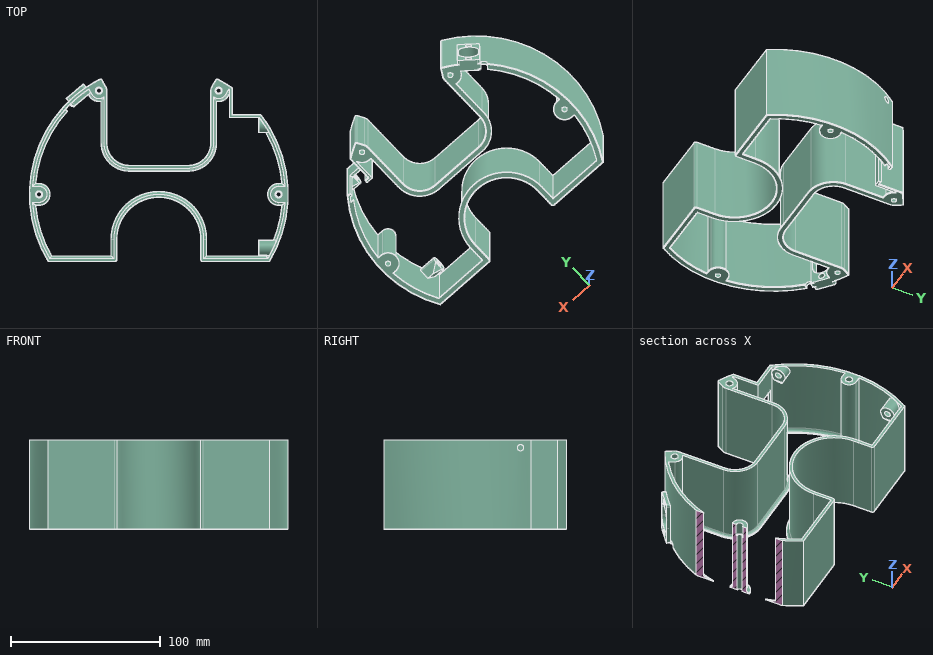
import cadquery as cq
import math

height = 60.0
wall = 2.0
outer_radius = 86.5
front_y = -45.0
bottom_chamfer = 0.5

boss_circle_radius = 80.0
rear_boss_angles = (60.0, 120.0)
boss_angles = (0.0, *rear_boss_angles, 180.0)
insert_diameter = 4.7
insert_depth = 10.0
screw_diameter = 3.4
boss_wall = 3.0
boss_radius = insert_diameter / 2 + boss_wall
boss_tip_fillet = 1.0
rear_boss_x = boss_circle_radius * math.cos(math.radians(rear_boss_angles[0]))
rear_boss_y = boss_circle_radius * math.sin(math.radians(rear_boss_angles[0]))

bay_half_width = rear_boss_x - boss_radius
bay_floor_y = 19.4
bay_corner_radius = 15.0

arch_radius = 28.0
arch_center_y = -30.0
arch_corner_fillet = 1.5

step_x = 49.2
step_y = 53.35
window_left_x = 52.0
window_right_x = 65.4
window_height = 40.0

ledge_width = 2.0
ledge_thickness = 1.0
ledge_fillet = ledge_width
bay_ledge_fillet = ledge_width / 2
ledge_step_gap = 3.0

side_boss_hole_diameter = 4.2
side_boss_radius = side_boss_hole_diameter / 2 + boss_wall
side_boss_face_x = 66.6
side_boss_z = 54.8
side_boss_ys = (-35.7, 46.3)
side_boss_hole_depth = 8.0
side_boss_gusset_drop = 12.0
side_boss_gusset_steepness = 1.3

connector_angle = 130.0
connector_center_x = -56.1
connector_center_y = 68.9
connector_width = 15.0
connector_height = 35.0
connector_depth = 7.5
connector_outer_depth = 4.0
connector_corner_radius = 1.5
connector_boss_overlap = 3.0
connector_slot_length = 21.3
connector_slot_width = 13.3
connector_screw_diameter = 4.2
connector_screw_spacing = 27.5

notch_angle = 136.1
notch_width = 4.2
notch_axis_z = 2.2

reach = 2 * outer_radius


def block(x_range, y_range, z_range):
    """Axis-aligned box between the given limits."""
    (x0, x1), (y0, y1), (z0, z1) = x_range, y_range, z_range
    return cq.Workplane("XY", origin=(x0, y0, z0)).box(x1 - x0, y1 - y0, z1 - z0, centered=False)


def disc(radius, z_range):
    """Vertical cylinder about the shell axis."""
    bottom_z, top_z = z_range
    return cq.Workplane("XY", origin=(0, 0, bottom_z)).circle(radius).extrude(top_z - bottom_z)


def boss_column(angle, radius, z_range):
    """Round column joined outward to the shell wall by a web of the same width."""
    column = disc(radius, z_range).translate((boss_circle_radius, 0, 0))
    web = block((boss_circle_radius, reach), (-radius, radius), z_range)
    return column.union(web).rotate((0, 0, 0), (0, 0, 1), angle)


def rear_bay(offset, z_range):
    """U-shaped bay grown by `offset`, open toward the rear."""
    half_width = bay_half_width + offset
    bay = block((-half_width, half_width), (bay_floor_y - offset, reach), z_range)
    return bay.edges("|Z and <Y").fillet(bay_corner_radius + offset)


def rear_mouth(z_range):
    """Space between the two rear bosses, out to their centre planes."""
    return block((-rear_boss_x, rear_boss_x), (rear_boss_y, reach), z_range)


def front_bay(offset, z_range):
    """Arched bay grown by `offset`, open toward the front."""
    radius = arch_radius + offset
    arch = disc(radius, z_range).translate((0, arch_center_y, 0))
    return arch.union(block((-radius, radius), (-reach, arch_center_y), z_range))


def front_side(offset, z_range):
    """Everything in front of the front wall face moved inward by `offset`."""
    return block((-reach, reach), (-reach, front_y + offset), z_range)


def step_corner(offset, z_range):
    """Rear right corner taken away by the step, grown by `offset`."""
    return block((step_x - offset, reach), (step_y - offset, reach), z_range)


def shell_body():
    """Solid body with the outer outline of the shell."""
    z_range = (0, height)
    mouth = rear_mouth(z_range)
    for angle in rear_boss_angles:
        mouth = mouth.cut(boss_column(angle, boss_radius, z_range))
    body = disc(outer_radius, z_range).cut(front_side(0, z_range)).cut(front_bay(0, z_range))
    body = body.cut(rear_bay(0, z_range)).cut(mouth)
    front_corners = cq.selectors.BoxSelector(
        (-arch_radius - wall, front_y - wall, 0),
        (arch_radius + wall, front_y + wall, height),
    )
    body = body.edges("|Z").edges(front_corners).fillet(arch_corner_fillet)
    body = body.edges("|Z and >Y").fillet(boss_tip_fillet)
    body = body.cut(step_corner(0, z_range))
    return body.faces("<Z").chamfer(bottom_chamfer)


def inner_space(offset, boss_offset, z_range):
    """Space inside walls `offset` thick and around bosses grown by `boss_offset`."""
    space = disc(outer_radius - offset, z_range).cut(front_side(offset, z_range))
    space = space.cut(front_bay(offset, z_range)).cut(rear_bay(offset, z_range)).cut(rear_mouth(z_range))
    for angle in boss_angles:
        space = space.cut(boss_column(angle, boss_radius + boss_offset, z_range))
    return space


def filleted_cavity(fillet):
    """Cavity above the ledge with its whole bottom rim rounded."""
    space = inner_space(wall, 0, (ledge_thickness, height))
    return space.faces("<Z").edges().fillet(fillet)


def cavity():
    """Cavity above the ledge, with a smaller fillet around the rear bay than elsewhere."""
    bay_zone = block((-step_x, step_x), (bay_floor_y - 2 * wall, reach), (0, height))
    bay_part = filleted_cavity(bay_ledge_fillet).intersect(bay_zone)
    return filleted_cavity(ledge_fillet).cut(bay_zone).union(bay_part)


def ledge_gap():
    """Gap where the ledge stops short of the step wall."""
    z_range = (0, ledge_thickness + ledge_fillet)
    inner_y = step_y - wall
    gap = block((step_x, reach), (inner_y - ledge_step_gap, inner_y), z_range)
    return gap.intersect(disc(outer_radius - wall, z_range))


def boss_holes(angle):
    """Screw hole through a boss with a wider insert hole at the top."""
    screw = disc(screw_diameter / 2, (0, height))
    insert = disc(insert_diameter / 2, (height - insert_depth, height))
    holes = screw.union(insert).translate((boss_circle_radius, 0, 0))
    return holes.rotate((0, 0, 0), (0, 0, 1), angle)


def side_boss(center_y):
    """Horizontal boss from its face out to the right wall, on a gusset that tapers to a point below."""
    face = cq.Workplane("YZ", origin=(side_boss_face_x, center_y, side_boss_z))
    taper_angle = math.asin(side_boss_radius / side_boss_gusset_drop)
    tangent_y = side_boss_radius * math.cos(taper_angle)
    tangent_z = -side_boss_radius * math.sin(taper_angle)
    taper = [(-tangent_y, tangent_z), (0, -side_boss_gusset_drop), (tangent_y, tangent_z)]
    gusset = face.polyline(taper).close().extrude(outer_radius)
    slope = (
        cq.Workplane("XZ", origin=(side_boss_face_x, reach, side_boss_z - side_boss_radius))
        .polyline([(0, 0), (reach, -side_boss_gusset_steepness * reach), (reach, reach), (0, reach)])
        .close()
        .extrude(2 * reach)
    )
    boss = face.circle(side_boss_radius).extrude(outer_radius).union(gusset.intersect(slope))
    within = disc(outer_radius - wall / 2, (0, height)).cut(step_corner(wall / 2, (0, height)))
    return boss.intersect(within)


def side_boss_hole(center_y):
    """Blind hole along X in the face of a side boss."""
    face = cq.Workplane("YZ", origin=(side_boss_face_x, center_y, side_boss_z))
    return face.circle(side_boss_hole_diameter / 2).extrude(side_boss_hole_depth)


def step_window():
    """Window in the step wall, open at the bottom."""
    y_range = (step_y - 2 * wall, step_y + wall)
    return block((window_left_x, window_right_x), y_range, (0, window_height))


def connector_plane(center_z):
    """Plane on the pad's outer face: local x tangential, local y up, local z outward."""
    angle = math.radians(connector_angle)
    outward = (math.cos(angle), math.sin(angle), 0)
    tangent = (-outward[1], outward[0], 0)
    return cq.Workplane(cq.Plane((connector_center_x, connector_center_y, center_z), tangent, outward))


def rounded_plate(left_x, right_x, near_depth, far_depth):
    """Plate between two depths behind the pad face, with rounded corners."""
    plate = (
        connector_plane(connector_height / 2)
        .workplane(offset=-far_depth)
        .center((left_x + right_x) / 2, 0)
        .rect(right_x - left_x, connector_height)
        .extrude(far_depth - near_depth)
    )
    depth_direction = connector_plane(0).plane.zDir
    corners = cq.selectors.ParallelDirSelector(depth_direction)
    return plate.edges(corners).fillet(connector_corner_radius)


def connector_block():
    """Outer pad plus an inner plate that runs on into the neighbouring boss."""
    half_width = connector_width / 2
    pad = rounded_plate(-half_width, half_width, 0, connector_outer_depth)
    inner_left = -half_width - connector_boss_overlap
    return pad.union(rounded_plate(inner_left, half_width, connector_outer_depth, connector_depth))


def connector_openings():
    """Long slot for the connector with a screw hole above and below."""
    face = connector_plane(connector_height / 2)
    slot = face.slot2D(connector_slot_length, connector_slot_width, 90).extrude(-connector_depth)
    screw_points = [(0, -connector_screw_spacing / 2), (0, connector_screw_spacing / 2)]
    screws = face.pushPoints(screw_points).circle(connector_screw_diameter / 2).extrude(-connector_depth)
    return slot.union(screws)


def cable_notch():
    """Round-topped notch through the wall and ledge, running parallel to the connector slot."""
    half_length = 3 * wall
    round_top = cq.Workplane("YZ", origin=(-half_length, 0, notch_axis_z)).circle(notch_width / 2)
    legs = block((-half_length, half_length), (-notch_width / 2, notch_width / 2), (0, notch_axis_z))
    notch = round_top.extrude(2 * half_length).union(legs)
    notch = notch.rotate((0, 0, 0), (0, 0, 1), connector_angle)
    angle = math.radians(notch_angle)
    middle_radius = outer_radius - wall
    return notch.translate((middle_radius * math.cos(angle), middle_radius * math.sin(angle), 0))


full_height = (0, height)
inside = cavity().union(inner_space(wall + ledge_width, ledge_width, full_height))
result = shell_body().cut(inside.cut(step_corner(wall, full_height)))
result = result.cut(ledge_gap()).cut(step_window()).cut(cable_notch())
for side_boss_y in side_boss_ys:
    result = result.union(side_boss(side_boss_y)).cut(side_boss_hole(side_boss_y))
result = result.union(connector_block()).cut(connector_openings())
for boss_angle in boss_angles:
    result = result.cut(boss_holes(boss_angle))